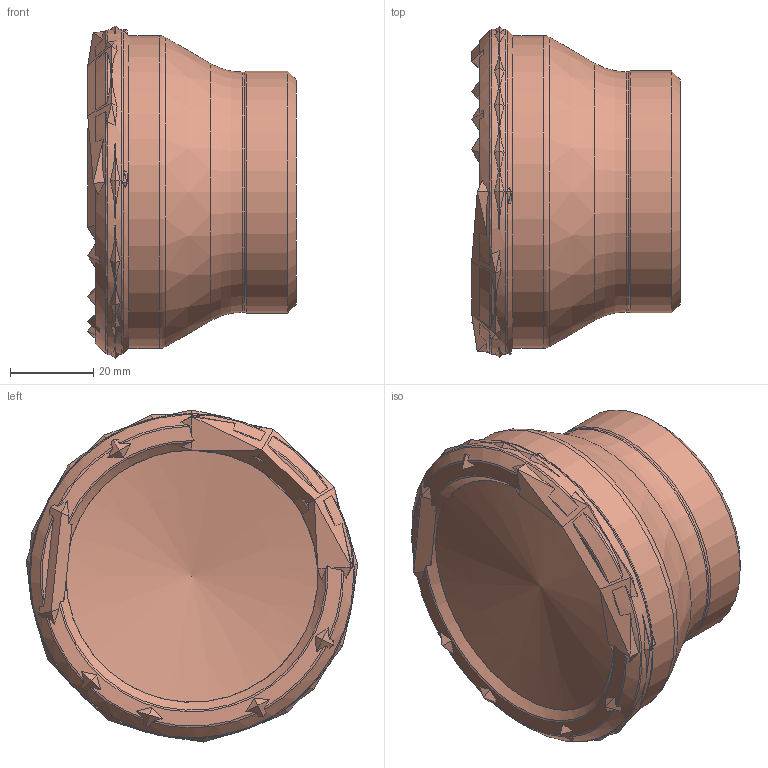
import cadquery as cq
import math

LENGTH = 50.0

HEAD_RADIUS = 75.0 / 2
HEAD_END_X = 17.2
SHOULDER_RADIUS = 3.0
NECK_SLOPE = math.radians(30)
NECK_FILLET_RADIUS = 15.0
GROOVE_RADIUS = 57.6 / 2
GROOVE_START_X = 37.0
GROOVE_FLOOR_END_X = 37.5
SPIGOT_RADIUS = 58.0 / 2
SPIGOT_START_X = 38.0
SPIGOT_CHAMFER = 2.1
DISH_EDGE_X = 3.8
DISH_EDGE_RADIUS = 30.2
DISH_DEPTH = 5.3

RING_SIDES = 8
RING_CENTRE_RADIUS = 34.25
RING_CENTRE_X = 6.45
RING_HALF_WIDTH = 4.7
RING_CORNER_BREAK = 0.5
RING_OUTER_RADIUS = RING_CENTRE_RADIUS + RING_HALF_WIDTH
RING_FRONT_X = RING_CENTRE_X - RING_HALF_WIDTH

GUARD_END_ANGLES = (90.0, 3.3)
GUARD_MIDDLE_ANGLES = (61.0, 32.0)
GUARD_RADIUS = 34.6
GUARD_X = 5.7
GUARD_REACH = 5.7
GUARD_END_CORNER = -50.0
GUARD_TAPER_ANGLES = (107.0, -14.0)

STUD_ROOT_DEPTH = 1.0
FRONT_STUD_ANGLES = (120.0, 154.0, 194.0, 226.0, 253.0, 297.0, 334.0)
FRONT_STUD_RADIUS = 34.8
FRONT_STUD_LENGTH = 10.0
FRONT_STUD_WIDTH = 6.0
RIDGE_ANGLES = FRONT_STUD_ANGLES[1:3]
OUTER_STUD_ANGLES = (
    4.0, 90.0, 104.0, 122.0, 138.0, 165.0, 175.0, 210.0, 240.0, 274.0, 305.0, 317.0, 335.0,
)
OUTER_STUD_TIP_RADIUS = 39.85
OUTER_STUD_X = 6.6
OUTER_STUD_LENGTH = 18.0
OUTER_STUD_WIDTH = 5.0


def ring_point(x, radius, angle, tangent=0.0):
    """Point at an angle from -Y toward +Z, optionally moved sideways along the tangent."""
    cosine = math.cos(math.radians(angle))
    sine = math.sin(math.radians(angle))
    y = -radius * cosine + tangent * sine
    z = radius * sine + tangent * cosine
    return cq.Vector(x, y, z)


def polyhedron(faces):
    """Solid bounded by flat faces, each given by its corner points."""
    flat_faces = [cq.Face.makeFromWires(cq.Wire.makePolygon(corners, close=True)) for corners in faces]
    return cq.Workplane(cq.Solid.makeSolid(cq.Shell.makeShell(flat_faces)))


def pyramid(base, tip):
    """Pyramid on the given base corners."""
    sides = [[base[i - 1], base[i], tip] for i in range(len(base))]
    return polyhedron([base] + sides)


def turned(profile):
    """Closes a half profile and turns it about the X axis."""
    return profile.close().revolve(360, (0, 0, 0), (1, 0, 0))


def octagon_ring():
    """Turned ring whose octagon corners are each replaced by a small flat."""
    broken_corners = []
    half_side = RING_HALF_WIDTH * math.tan(math.pi / RING_SIDES) - RING_CORNER_BREAK / 2
    for side in range(RING_SIDES):
        turn = 2 * math.pi * side / RING_SIDES
        for along in (-half_side, half_side):
            x = RING_CENTRE_X + RING_HALF_WIDTH * math.cos(turn) - along * math.sin(turn)
            radius = RING_CENTRE_RADIUS + RING_HALF_WIDTH * math.sin(turn) + along * math.cos(turn)
            broken_corners.append((x, radius))
    return turned(cq.Workplane("XY").polyline(broken_corners))


def guard_section(angle, first_corner):
    """Four corners of a square section, the first one at first_corner degrees from -X outward."""
    corners = []
    for corner in range(4):
        turn = math.radians(first_corner + 90 * corner)
        x = GUARD_X - GUARD_REACH * math.cos(turn)
        radius = GUARD_RADIUS + GUARD_REACH * math.sin(turn)
        corners.append(ring_point(x, radius, angle))
    return corners


def guard():
    """Tilted square near both ends, a diamond over the middle, tapering off into the ring.

    It is bored out so that the dish stays open.
    """
    end_squares = [guard_section(angle, GUARD_END_CORNER) for angle in GUARD_END_ANGLES]
    diamonds = [guard_section(angle, 0) for angle in GUARD_MIDDLE_ANGLES]
    taper_tips = [ring_point(GUARD_X, GUARD_RADIUS, angle) for angle in GUARD_TAPER_ANGLES]
    faces = []
    for i in range(4):
        following = (i + 1) % 4
        for square, diamond, tip in zip(end_squares, diamonds, taper_tips):
            faces.append([square[i], square[following], diamond[i]])
            faces.append([diamond[i], diamond[following], square[following]])
            faces.append([square[i], square[following], tip])
        faces.append([diamonds[0][i], diamonds[0][following], diamonds[1][following], diamonds[1][i]])
    sleeve = (
        cq.Workplane("YZ")
        .circle(GUARD_RADIUS + GUARD_REACH)
        .circle(DISH_EDGE_RADIUS)
        .extrude(GUARD_X + GUARD_REACH)
    )
    return polyhedron(faces).intersect(sleeve)


def front_stud(angle):
    """Pyramid on the front flat of the ring, its tip at X = 0."""
    base_x = RING_FRONT_X + STUD_ROOT_DEPTH
    half_length = FRONT_STUD_LENGTH / 2
    half_width = FRONT_STUD_WIDTH / 2
    base = [
        ring_point(base_x, FRONT_STUD_RADIUS + half_width, angle),
        ring_point(base_x, FRONT_STUD_RADIUS, angle, half_length),
        ring_point(base_x, FRONT_STUD_RADIUS - half_width, angle),
        ring_point(base_x, FRONT_STUD_RADIUS, angle, -half_length),
    ]
    return pyramid(base, ring_point(0, FRONT_STUD_RADIUS, angle))


def front_ridge():
    """Straight triangular ridge joining the tips of two neighbouring front studs."""
    base_x = RING_FRONT_X + STUD_ROOT_DEPTH
    half_width = FRONT_STUD_WIDTH / 2
    start, end = [
        [
            ring_point(base_x, FRONT_STUD_RADIUS - half_width, angle),
            ring_point(0, FRONT_STUD_RADIUS, angle),
            ring_point(base_x, FRONT_STUD_RADIUS + half_width, angle),
        ]
        for angle in RIDGE_ANGLES
    ]
    sides = [[start[i - 1], start[i], end[i], end[i - 1]] for i in range(3)]
    return polyhedron([start, end] + sides)


def outer_stud(angle):
    """Long low pyramid on the outer flat of the ring."""
    base_radius = RING_OUTER_RADIUS - STUD_ROOT_DEPTH
    half_length = OUTER_STUD_LENGTH / 2
    half_width = OUTER_STUD_WIDTH / 2
    base = [
        ring_point(OUTER_STUD_X + half_width, base_radius, angle),
        ring_point(OUTER_STUD_X, base_radius, angle, half_length),
        ring_point(OUTER_STUD_X - half_width, base_radius, angle),
        ring_point(OUTER_STUD_X, base_radius, angle, -half_length),
    ]
    return pyramid(base, ring_point(OUTER_STUD_X, OUTER_STUD_TIP_RADIUS, angle))


def rim_ring():
    """Octagonal ring with its guard, ridge and studs, as one solid."""
    ring = octagon_ring().union(guard()).union(front_ridge())
    for angle in FRONT_STUD_ANGLES:
        ring = ring.union(front_stud(angle))
    for angle in OUTER_STUD_ANGLES:
        ring = ring.union(outer_stud(angle))
    return ring


def arc_point(centre, radius, angle):
    """Point on an arc at an angle from the radial direction; a negative radius is toward the axis."""
    return (centre[0] + radius * math.sin(angle), centre[1] + radius * math.cos(angle))


def knob_blank():
    """Turned body, still filling part of the place where the ring sits."""
    shoulder_centre = (HEAD_END_X, HEAD_RADIUS - SHOULDER_RADIUS)
    shoulder_middle = arc_point(shoulder_centre, SHOULDER_RADIUS, NECK_SLOPE / 2)
    shoulder_end = arc_point(shoulder_centre, SHOULDER_RADIUS, NECK_SLOPE)
    fillet_centre = (GROOVE_START_X, GROOVE_RADIUS + NECK_FILLET_RADIUS)
    fillet_start = arc_point(fillet_centre, -NECK_FILLET_RADIUS, NECK_SLOPE)
    fillet_middle = arc_point(fillet_centre, -NECK_FILLET_RADIUS, NECK_SLOPE / 2)
    profile = (
        cq.Workplane("XY")
        .moveTo(DISH_EDGE_X + DISH_DEPTH, 0)
        .lineTo(DISH_EDGE_X, DISH_EDGE_RADIUS)
        .lineTo(RING_CENTRE_X, RING_CENTRE_RADIUS)
        .lineTo(RING_CENTRE_X, HEAD_RADIUS)
        .lineTo(HEAD_END_X, HEAD_RADIUS)
        .threePointArc(shoulder_middle, shoulder_end)
        .lineTo(*fillet_start)
        .threePointArc(fillet_middle, (GROOVE_START_X, GROOVE_RADIUS))
        .lineTo(GROOVE_FLOOR_END_X, GROOVE_RADIUS)
        .lineTo(SPIGOT_START_X, SPIGOT_RADIUS)
        .lineTo(LENGTH - SPIGOT_CHAMFER, SPIGOT_RADIUS)
        .lineTo(LENGTH, SPIGOT_RADIUS - SPIGOT_CHAMFER)
        .lineTo(LENGTH, 0)
    )
    return turned(profile)


ring = rim_ring()
knob = knob_blank().cut(ring)

result = cq.Compound.makeCompound([knob.val(), ring.val()])